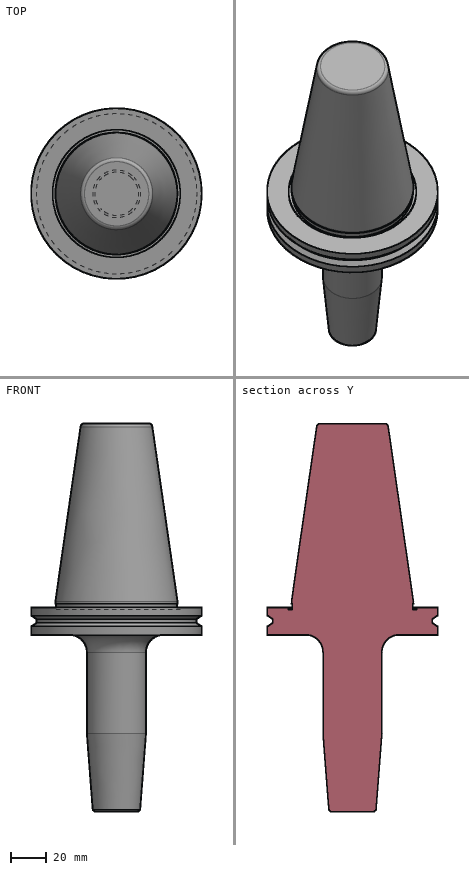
import cadquery as cq

total_length = 221.8
flange_diameter = 97.5

flange_bottom = 101.0
flange_top = 116.6
taper_bottom = 120.2
nose_cone_top = 44.8

taper_small_diameter = 40.5
taper_large_diameter = 69.9
end_round = 2.2
land_height = 1.3
neck_diameter = 69.2
relief_outer_diameter = 73.0
relief_depth = 1.0

groove_center = 108.9
groove_mouth_width = 6.2
groove_floor_width = 2.2
groove_floor_diameter = 91.5

stem_diameter = 34.0
stem_fillet = 9.8
nose_diameter = 27.0
nose_chamfer = 1.0


def cylinder(bottom, top, diameter):
    return cq.Workplane("XY").workplane(offset=bottom).circle(diameter / 2).extrude(top - bottom)


def cone(bottom, top, bottom_diameter, top_diameter):
    profile = [
        (0, bottom),
        (bottom_diameter / 2, bottom),
        (top_diameter / 2, top),
        (0, top),
    ]
    return cq.Workplane("XZ").polyline(profile).close().revolve(360, (0, 0), (0, 1))


def make_taper():
    """Steep taper with a rounded small end, above a short straight land and a narrower neck."""
    taper = cone(taper_bottom, total_length, taper_large_diameter, taper_small_diameter)
    taper = taper.faces(">Z").edges().fillet(end_round)
    land_bottom = taper_bottom - land_height
    land = cylinder(land_bottom, taper_bottom, taper_large_diameter)
    neck = cylinder(flange_top - relief_depth, land_bottom, neck_diameter)
    return taper.union(land).union(neck)


def make_flange():
    """Flange with a gripper groove in its rim and a shallow relief ring in its top face."""
    rim_radius = flange_diameter / 2
    floor_radius = groove_floor_diameter / 2
    profile = [
        (0, flange_bottom),
        (rim_radius, flange_bottom),
        (rim_radius, groove_center - groove_mouth_width / 2),
        (floor_radius, groove_center - groove_floor_width / 2),
        (floor_radius, groove_center + groove_floor_width / 2),
        (rim_radius, groove_center + groove_mouth_width / 2),
        (rim_radius, flange_top),
        (0, flange_top),
    ]
    flange = cq.Workplane("XZ").polyline(profile).close().revolve(360, (0, 0), (0, 1))
    relief = cylinder(flange_top - relief_depth, flange_top, relief_outer_diameter)
    return flange.cut(relief)


def make_stem():
    """Straight stem flaring into the flange, with a tapered nose chamfered at its tip."""
    radius = stem_diameter / 2
    stem = (
        cq.Workplane("XZ")
        .moveTo(0, nose_cone_top)
        .lineTo(radius, nose_cone_top)
        .lineTo(radius, flange_bottom - stem_fillet)
        .radiusArc((radius + stem_fillet, flange_bottom), stem_fillet)
        .lineTo(0, flange_bottom)
        .close()
        .revolve(360, (0, 0), (0, 1))
    )
    nose = cone(0, nose_cone_top, nose_diameter, stem_diameter)
    nose = nose.faces("<Z").edges().chamfer(nose_chamfer)
    return stem.union(nose)


result = make_flange().union(make_taper()).union(make_stem())